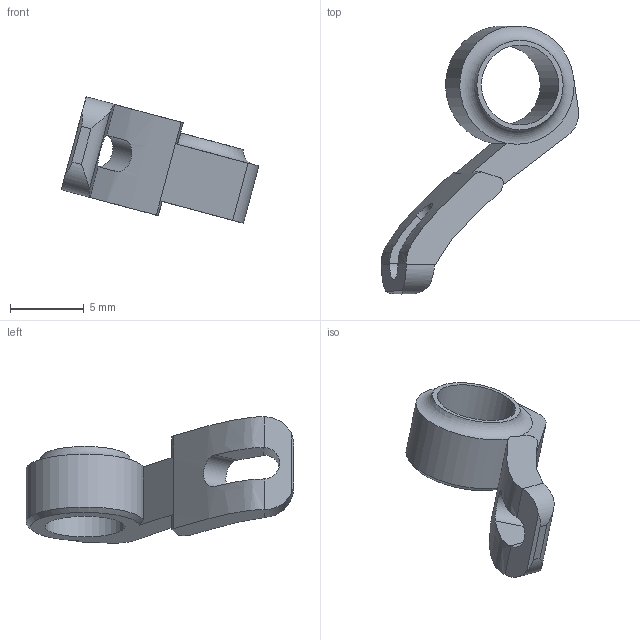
import math

import cadquery as cq

TILT_ANGLE = 15.0

RING_RADIUS = 4.0
BORE_RADIUS = 2.7
RING_HEIGHT = 4.0
RING_CHAMFER = 0.3
COLLAR_HEIGHT = 0.8
COVE_RADIUS = 1.0
COLLAR_TOP = RING_HEIGHT + COLLAR_HEIGHT

PLATE_ROOT = (-0.40, -3.70)
OUTER_BEND = (-3.20, -5.95)
INNER_BEND = (-1.50, -7.15)
HEEL_CENTER = (2.47, -1.92)
HEEL_RADIUS = 1.85

BLADE_BOTTOM = -1.0
BLADE_HEIGHT = 6.5
BLADE_MIDDLE_Z = BLADE_BOTTOM + BLADE_HEIGHT / 2
BLADE_END_OUTER = (-2.89, -5.87)
BLADE_END_INNER = (-1.25, -6.37)
BLADE_END_FILLET = 0.4
OUTER_BEND_DIRECTION = (-0.74, -0.67)
OUTER_CURVE = [(-5.59, -8.13), (-6.81, -9.44), (-7.76, -10.75)]
OUTER_X = -8.15
INNER_CURVE_START = (-6.15, -12.20)
INNER_START_DIRECTION = (0.50, 0.87)
INNER_CURVE = [(-4.70, -10.10), (-3.37, -8.79)]
INNER_BEND_DIRECTION = (0.80, 0.60)

TIP_Y = -14.12
TIP_CHAMFER = 0.2
TIP_ROUND_START = (-7.28, TIP_Y)
TIP_ROUND_END = (-6.33, -13.45)
TIP_CORNER_RADIUS = 2.0
TIP_CORNER_CENTER_Y = TIP_Y + TIP_CORNER_RADIUS

SLOT_WIDTH = 2.2
SLOT_NEAR_POINT = (-6.28, -8.74)
SLOT_NEAR_ANGLE = -49.0
SLOT_FAR_POINT = (OUTER_X, -12.05)
SLOT_FAR_ANGLE = 0.0

CUT_CLEARANCE = 1.0
CUT_REACH = 3.0


def polar_point(center, distance, angle):
    """Point at a distance from another, at an angle in degrees."""
    x = center[0] + distance * math.cos(math.radians(angle))
    y = center[1] + distance * math.sin(math.radians(angle))
    return (x, y)


def make_ring():
    """Ring with a chamfered foot and a coved collar, still without its bore."""
    cove_center = (RING_RADIUS, RING_HEIGHT + COVE_RADIUS)
    cove_middle = polar_point(cove_center, COVE_RADIUS, 225)
    cove_drop = cove_center[1] - COLLAR_TOP
    collar_radius = RING_RADIUS - math.sqrt(COVE_RADIUS**2 - cove_drop**2)
    return (
        cq.Workplane("XZ")
        .lineTo(RING_RADIUS - RING_CHAMFER, 0)
        .lineTo(RING_RADIUS, RING_CHAMFER)
        .lineTo(RING_RADIUS, RING_HEIGHT)
        .threePointArc(cove_middle, (collar_radius, COLLAR_TOP))
        .lineTo(0, COLLAR_TOP)
        .close()
        .revolve(360, (0, 0), (0, 1))
    )


def make_plate():
    """Straight stretch of the arm, from the heel beside the ring to the blade."""
    center_angle = math.degrees(math.atan2(HEEL_CENTER[1], HEEL_CENTER[0]))
    spread = math.acos((RING_RADIUS - HEEL_RADIUS) / math.hypot(*HEEL_CENTER))
    ring_side_angle = center_angle + math.degrees(spread)
    dx = HEEL_CENTER[0] - INNER_BEND[0]
    dy = HEEL_CENTER[1] - INNER_BEND[1]
    edge_angle = math.degrees(math.atan2(dy, dx) - math.asin(HEEL_RADIUS / math.hypot(dx, dy)))
    heel_start_angle = edge_angle - 90
    heel_middle_angle = (heel_start_angle + ring_side_angle) / 2
    heel_start = polar_point(HEEL_CENTER, HEEL_RADIUS, heel_start_angle)
    heel_middle = polar_point(HEEL_CENTER, HEEL_RADIUS, heel_middle_angle)
    heel_end = polar_point(HEEL_CENTER, HEEL_RADIUS, ring_side_angle)
    return (
        cq.Workplane("XY")
        .moveTo(*PLATE_ROOT)
        .lineTo(*OUTER_BEND)
        .lineTo(*INNER_BEND)
        .lineTo(*heel_start)
        .threePointArc(heel_middle, heel_end)
        .lineTo(*polar_point((0, 0), RING_RADIUS, ring_side_angle))
        .close()
        .extrude(RING_HEIGHT)
    )


def make_blade():
    """Tall curved stretch of the arm, reaching above and below the plate."""
    outer_points = [*OUTER_CURVE, (OUTER_X, TIP_CORNER_CENTER_Y)]
    outer_tangents = [OUTER_BEND_DIRECTION, (0, -1)]
    inner_points = [*INNER_CURVE, INNER_BEND]
    inner_tangents = [INNER_START_DIRECTION, INNER_BEND_DIRECTION]
    filleted_edge = cq.selectors.NearestToPointSelector((*BLADE_END_INNER, BLADE_MIDDLE_Z))
    return (
        cq.Workplane("XY", origin=(0, 0, BLADE_BOTTOM))
        .moveTo(*BLADE_END_OUTER)
        .lineTo(*OUTER_BEND)
        .spline(outer_points, tangents=outer_tangents, includeCurrent=True)
        .lineTo(OUTER_X, TIP_Y + TIP_CHAMFER)
        .lineTo(OUTER_X + TIP_CHAMFER, TIP_Y)
        .lineTo(*TIP_ROUND_START)
        .tangentArcPoint(TIP_ROUND_END, relative=False)
        .lineTo(*INNER_CURVE_START)
        .spline(inner_points, tangents=inner_tangents, includeCurrent=True)
        .lineTo(*BLADE_END_INNER)
        .close()
        .extrude(BLADE_HEIGHT)
        .edges(filleted_edge)
        .fillet(BLADE_END_FILLET)
    )


def make_tip_corner(corner_z, inward):
    """Waste outside one rounded tip corner; inward is +1 at the bottom and -1 at the top."""
    center_z = corner_z + inward * TIP_CORNER_RADIUS
    arc_middle = polar_point((TIP_CORNER_CENTER_Y, center_z), TIP_CORNER_RADIUS, 180 + inward * 45)
    return (
        cq.Workplane("YZ", origin=(OUTER_X - CUT_CLEARANCE, 0, 0))
        .moveTo(TIP_CORNER_CENTER_Y, corner_z)
        .threePointArc(arc_middle, (TIP_Y, center_z))
        .lineTo(TIP_Y, corner_z)
        .close()
        .extrude(CUT_CLEARANCE + CUT_REACH)
    )


def make_slot_end(point, angle):
    """Round end of the slot, bored through the blade along a plan angle."""
    start = polar_point(point, -CUT_CLEARANCE, angle)
    direction = (*polar_point((0, 0), 1, angle), 0)
    plane = cq.Plane(origin=(*start, BLADE_MIDDLE_Z), xDir=(0, 0, 1), normal=direction)
    return cq.Workplane(plane).circle(SLOT_WIDTH / 2).extrude(CUT_CLEARANCE + CUT_REACH)


def make_slot():
    """Slot following the blade, with both round ends square to the blade."""
    near_outside = polar_point(SLOT_NEAR_POINT, -CUT_CLEARANCE, SLOT_NEAR_ANGLE)
    near_inside = polar_point(SLOT_NEAR_POINT, CUT_REACH, SLOT_NEAR_ANGLE)
    far_outside = polar_point(SLOT_FAR_POINT, -CUT_CLEARANCE, SLOT_FAR_ANGLE)
    far_inside = polar_point(SLOT_FAR_POINT, CUT_REACH, SLOT_FAR_ANGLE)
    outside_corner = (far_outside[0], near_outside[1])
    band = (
        cq.Workplane("XY", origin=(0, 0, BLADE_MIDDLE_Z - SLOT_WIDTH / 2))
        .polyline([near_outside, outside_corner, far_outside, far_inside, near_inside])
        .close()
        .extrude(SLOT_WIDTH)
    )
    near_end = make_slot_end(SLOT_NEAR_POINT, SLOT_NEAR_ANGLE)
    far_end = make_slot_end(SLOT_FAR_POINT, SLOT_FAR_ANGLE)
    return band.union(near_end).union(far_end)


def make_part():
    """Join ring, plate and blade, open the bore and tilt the whole part."""
    blade = make_blade().cut(make_slot())
    blade = blade.cut(make_tip_corner(BLADE_BOTTOM, 1))
    blade = blade.cut(make_tip_corner(BLADE_BOTTOM + BLADE_HEIGHT, -1))
    bore = cq.Workplane("XY").circle(BORE_RADIUS).extrude(COLLAR_TOP)
    body = make_ring().union(make_plate()).union(blade).cut(bore)
    return body.rotate((0, 0, 0), (0, 1, 0), TILT_ANGLE)


result = make_part()